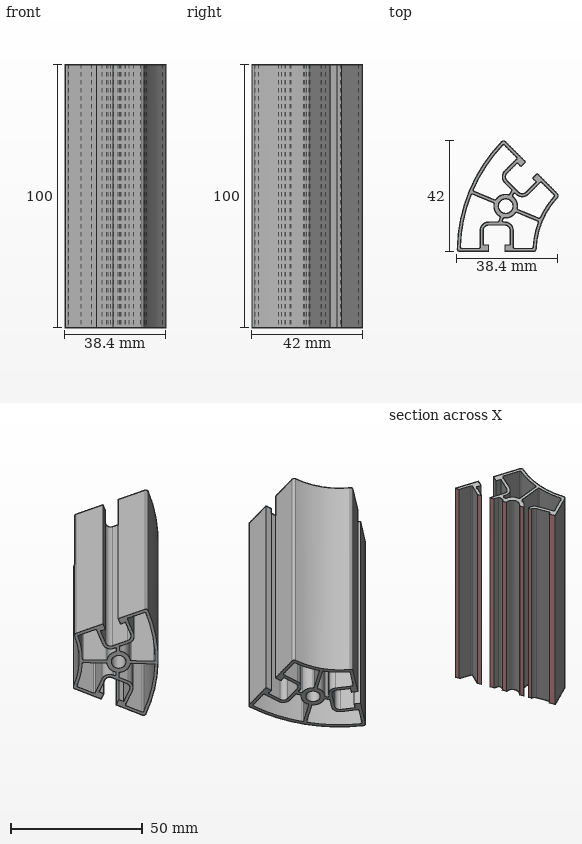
import cadquery as cq
import math

LENGTH = 100.0
SECTOR_ANGLE = 45.0
INNER_RADIUS = 30.0
OUTER_RADIUS = 60.0
CORNER_RADIUS = 1.0

FACE_WALL = 1.2
CURVED_WALL = 1.2
RIB_WALL = 1.2
CHANNEL_WALL = 1.2
CHANNEL_FLOOR = 1.2

BORE_DIAMETER = 5.5
TUBE_DIAMETER = 9.0

SLOT_OPENING = 6.2
SLOT_WIDTH = 10.2
SLOT_DEPTH = 10.0
LIP_DEPTH = 2.5
SLOT_RADIUS = 2.0

WEB_WALL = 1.2
WEB_LEAN = 19.0

CHAMBER_FILLET = 0.5

MIDDLE_RADIUS = (INNER_RADIUS + OUTER_RADIUS) / 2
BISECTOR_ANGLE = 180.0 - SECTOR_ANGLE / 2
CHANNEL_WIDTH = SLOT_WIDTH + 2 * CHANNEL_WALL
CHANNEL_DEPTH = SLOT_DEPTH + CHANNEL_FLOOR
CHANNEL_RADIUS = SLOT_RADIUS + CHANNEL_WALL
SLOT_X = -MIDDLE_RADIUS
TUBE_X = MIDDLE_RADIUS * math.cos(math.radians(BISECTOR_ANGLE))
TUBE_Y = MIDDLE_RADIUS * math.sin(math.radians(BISECTOR_ANGLE))

TOLERANCE = 0.01


def polar_point(radius, from_first_face):
    """Point at an angle measured from the first flat face around the apex."""
    angle = math.radians(180.0 - from_first_face)
    return (radius * math.cos(angle), radius * math.sin(angle))


def sector(inner_radius, outer_radius, face_inset):
    """Full-length ring sector whose flat faces are moved inwards by face_inset."""

    def edge_point(radius, on_second_face):
        inset_angle = math.degrees(math.asin(face_inset / radius))
        from_first_face = SECTOR_ANGLE - inset_angle if on_second_face else inset_angle
        return polar_point(radius, from_first_face)

    return (
        cq.Workplane("XY")
        .moveTo(*edge_point(outer_radius, False))
        .threePointArc(polar_point(outer_radius, SECTOR_ANGLE / 2), edge_point(outer_radius, True))
        .lineTo(*edge_point(inner_radius, True))
        .threePointArc(polar_point(inner_radius, SECTOR_ANGLE / 2), edge_point(inner_radius, False))
        .close()
        .extrude(LENGTH)
    )


def block(x_min, x_max, y_min, y_max):
    """Full-length rectangular block."""
    return (
        cq.Workplane("XY")
        .center((x_min + x_max) / 2, (y_min + y_max) / 2)
        .rect(x_max - x_min, y_max - y_min)
        .extrude(LENGTH)
    )


def cylinder(x, y, diameter):
    """Full-length cylinder."""
    return cq.Workplane("XY").center(x, y).circle(diameter / 2).extrude(LENGTH)


def with_mirror(body):
    """Body joined with its mirror image across the sector bisector."""
    image = body.mirror("XZ").rotate((0, 0, 0), (0, 0, 1), 2 * BISECTOR_ANGLE)
    return body.union(image)


def envelope():
    """Solid outer shape with rounded corners."""
    return sector(INNER_RADIUS, OUTER_RADIUS, 0).edges("|Z").fillet(CORNER_RADIUS)


def rib():
    """Radial rib along the bisector, from the inner to the outer curved wall."""
    start = INNER_RADIUS + CURVED_WALL / 2
    end = OUTER_RADIUS - CURVED_WALL / 2
    straight = block(start, end, -RIB_WALL / 2, RIB_WALL / 2)
    return straight.rotate((0, 0, 0), (0, 0, 1), BISECTOR_ANGLE)


def channel():
    """Solid block around a T-slot, still with sharp corners."""
    return block(SLOT_X - CHANNEL_WIDTH / 2, SLOT_X + CHANNEL_WIDTH / 2, 0, CHANNEL_DEPTH)


def slot():
    """Empty space of a T-slot."""
    opening = block(SLOT_X - SLOT_OPENING / 2, SLOT_X + SLOT_OPENING / 2, 0, SLOT_DEPTH)
    cavity = block(SLOT_X - SLOT_WIDTH / 2, SLOT_X + SLOT_WIDTH / 2, LIP_DEPTH, SLOT_DEPTH)
    return opening.union(cavity.faces(">Y").edges("|Z").fillet(SLOT_RADIUS))


def web():
    """Web from the tube to the channel floor, leaning away from the apex."""
    upright = block(TUBE_X - WEB_WALL / 2, TUBE_X + WEB_WALL / 2, SLOT_DEPTH, TUBE_Y)
    return upright.rotate((TUBE_X, TUBE_Y, 0), (TUBE_X, TUBE_Y, 1), -WEB_LEAN)


def is_channel_corner(edge):
    """True for the long edges along the two deep corners of either channel."""
    center = edge.Center()
    radius = math.hypot(center.x, center.y)
    angle = math.atan2(center.y, -center.x)
    from_nearer_face = min(angle, math.radians(SECTOR_ANGLE) - angle)
    along_face = radius * math.cos(from_nearer_face)
    depth = radius * math.sin(from_nearer_face)
    off_side = abs(abs(along_face - MIDDLE_RADIUS) - CHANNEL_WIDTH / 2)
    return max(off_side, abs(depth - CHANNEL_DEPTH)) < TOLERANCE


def chambers():
    """The four hollow chambers left between the walls, ribs, tube and channels."""
    hollow = sector(INNER_RADIUS + CURVED_WALL, OUTER_RADIUS - CURVED_WALL, FACE_WALL)
    hollow = hollow.cut(rib()).cut(cylinder(TUBE_X, TUBE_Y, TUBE_DIAMETER))
    hollow = hollow.cut(with_mirror(channel())).cut(with_mirror(web()))
    hollow = hollow.edges("|Z").filter(lambda edge: not is_channel_corner(edge)).fillet(CHAMBER_FILLET)
    return hollow.edges("|Z").filter(is_channel_corner).fillet(CHANNEL_RADIUS)


bore = cylinder(TUBE_X, TUBE_Y, BORE_DIAMETER)
result = envelope().cut(chambers()).cut(with_mirror(slot())).cut(bore)